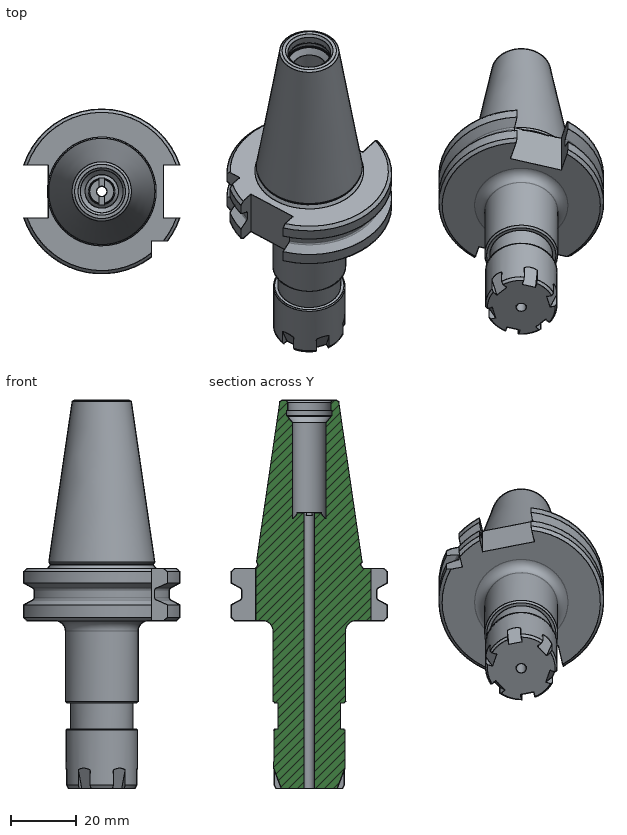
import cadquery as cq
import math

cut_clearance = 1.2

selection_margin = 0.1

total_height = 117.8
flange_bottom = 50.9
flange_top = 66.8
gauge_plane = 70.0

gauge_radius = 15.9
taper_slope = 7 / 24 / 2
taper_bottom = 68.7
relief_radius = 15.7
relief_top = 68.1
relief_floor_width = 0.4
relief_foot_radius = 16.5
tip_bevel_width = 0.7
tip_bevel_height = 0.41

flange_radius = 25.0
flange_chamfer = 1.0
groove_height = 59.0
groove_floor_radius = 22.0
groove_floor_width = 3.2
groove_angle = 60.0
groove_corner_radius = 0.6

drive_slot_width = 16.0
drive_slot_left = -16.3
drive_slot_right = 18.7
notch_offset = 15.1

shank_radius = 11.1
shank_fillet = 3.1
shank_bottom = 25.9
shank_chamfer = 0.6
neck_radius = 9.5

nut_radius = 10.8
nut_top = 18.1
nut_top_chamfer = 0.4
nut_bevel_width = 0.6
nut_bevel_height = 1.1
wrench_slot_count = 6
wrench_slot_width = 4.1
wrench_slot_height = 6.2
wrench_slot_depth = 2.4

mouth_radius = 7.2
mouth_chamfer = 0.7
counterbore_radius = 6.5
counterbore_depth = 5.1
recess_radius = 6.8
recess_start = 3.2
recess_end = 4.7
thread_radius = 5.1
thread_cone_height = 1.8
thread_depth = 34.2

screw_face_radius = 3.7
screw_shoulder_radius = 4.0
screw_bevel_height = 0.7
screw_chamfer_height = 1.1
driver_slot_width = 1.8
driver_slot_depth = 0.8
through_hole_radius = 1.5


def taper_radius(height):
    return gauge_radius - (height - gauge_plane) * taper_slope


def make_body():
    """Revolve the outer shape of taper, flange, shank and nut."""
    tip_radius = taper_radius(total_height)
    bevel_start = total_height - tip_bevel_height
    half_floor = groove_floor_width / 2
    flank_height = (flange_radius - groove_floor_radius) * math.tan(math.radians(groove_angle / 2))
    half_mouth = half_floor + flank_height
    body = (
        cq.Workplane("XZ")
        .moveTo(0, 0)
        .lineTo(nut_radius - nut_bevel_width, 0)
        .lineTo(nut_radius, nut_bevel_height)
        .lineTo(nut_radius, nut_top - nut_top_chamfer)
        .lineTo(nut_radius - nut_top_chamfer, nut_top)
        .lineTo(neck_radius, nut_top)
        .lineTo(neck_radius, shank_bottom)
        .lineTo(shank_radius - shank_chamfer, shank_bottom)
        .lineTo(shank_radius, shank_bottom + shank_chamfer)
        .lineTo(shank_radius, flange_bottom - shank_fillet)
        .radiusArc((shank_radius + shank_fillet, flange_bottom), shank_fillet)
        .lineTo(flange_radius - flange_chamfer, flange_bottom)
        .lineTo(flange_radius, flange_bottom + flange_chamfer)
        .lineTo(flange_radius, groove_height - half_mouth)
        .lineTo(groove_floor_radius, groove_height - half_floor)
        .lineTo(groove_floor_radius, groove_height + half_floor)
        .lineTo(flange_radius, groove_height + half_mouth)
        .lineTo(flange_radius, flange_top - flange_chamfer)
        .lineTo(flange_radius - flange_chamfer, flange_top)
        .lineTo(relief_foot_radius, flange_top)
        .lineTo(relief_radius, relief_top - relief_floor_width)
        .lineTo(relief_radius, relief_top)
        .lineTo(taper_radius(taper_bottom), taper_bottom)
        .lineTo(taper_radius(bevel_start), bevel_start)
        .lineTo(tip_radius - tip_bevel_width, total_height)
        .lineTo(0, total_height)
        .close()
        .revolve(360, (0, 0, 0), (0, 1, 0))
    )
    reach = groove_floor_radius + selection_margin
    half_band = half_floor + selection_margin
    groove_corners = cq.selectors.BoxSelector(
        (-reach, -reach, groove_height - half_band),
        (reach, reach, groove_height + half_band),
        boundingbox=True,
    )
    return body.edges(groove_corners).edges("%CIRCLE").fillet(groove_corner_radius)


def flange_cutter(x_min, x_max, y_min, y_max):
    """Block over the full flange thickness."""
    return (
        cq.Workplane("XY", origin=(x_min, y_min, flange_bottom))
        .box(x_max - x_min, y_max - y_min, flange_top - flange_bottom, centered=False)
    )


def cut_flange(body):
    """Two unequal drive slots and one corner notch."""
    reach = flange_radius + cut_clearance
    half_slot = drive_slot_width / 2
    body = body.cut(flange_cutter(-reach, drive_slot_left, -half_slot, half_slot))
    body = body.cut(flange_cutter(drive_slot_right, reach, -half_slot, half_slot))
    return body.cut(flange_cutter(notch_offset, reach, -reach, -notch_offset))


def cut_wrench_slots(body):
    """Slots around the nut, running deeper towards the nut face."""
    floor_bottom = nut_radius - wrench_slot_depth
    outside = nut_radius + cut_clearance
    wedge = (
        cq.Workplane("XZ")
        .moveTo(floor_bottom, 0)
        .lineTo(outside, 0)
        .lineTo(outside, wrench_slot_height)
        .lineTo(nut_radius, wrench_slot_height)
        .close()
        .extrude(wrench_slot_width / 2, both=True)
    )
    for index in range(wrench_slot_count):
        body = body.cut(wedge.rotate((0, 0, 0), (0, 0, 1), index * 360 / wrench_slot_count))
    return body


def cut_bore(body):
    """Stepped bore that ends on the bevelled face of the adjusting screw."""
    cone_top = total_height - counterbore_depth
    screw_face = total_height - thread_depth
    screw_shoulder = screw_face - screw_bevel_height
    bore = (
        cq.Workplane("XZ")
        .moveTo(0, total_height)
        .lineTo(mouth_radius, total_height)
        .lineTo(counterbore_radius, total_height - mouth_chamfer)
        .lineTo(counterbore_radius, total_height - recess_start)
        .lineTo(recess_radius, total_height - recess_start)
        .lineTo(recess_radius, total_height - recess_end)
        .lineTo(counterbore_radius, total_height - recess_end)
        .lineTo(counterbore_radius, cone_top)
        .lineTo(thread_radius, cone_top - thread_cone_height)
        .lineTo(thread_radius, screw_shoulder - screw_chamfer_height)
        .lineTo(screw_shoulder_radius, screw_shoulder)
        .lineTo(screw_face_radius, screw_face)
        .lineTo(0, screw_face)
        .close()
        .revolve(360, (0, 0, 0), (0, 1, 0))
    )
    driver_slot = (
        cq.Workplane("XY", origin=(0, 0, screw_face - driver_slot_depth))
        .rect(driver_slot_width, 2 * thread_radius)
        .extrude(driver_slot_depth)
    )
    through_hole = cq.Workplane("XY").circle(through_hole_radius).extrude(total_height)
    return body.cut(bore).cut(driver_slot).cut(through_hole)


result = cut_bore(cut_wrench_slots(cut_flange(make_body())))